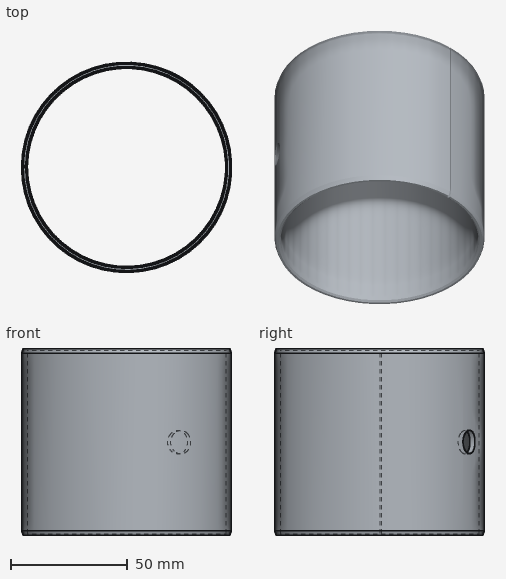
import cadquery as cq
import math

outer_diameter = 90.0
wall = 2.5
length = 80.0
outer_radius = outer_diameter / 2
inner_radius = outer_radius - wall
half_length = length / 2

outer_chamfer_length = 2.0
outer_chamfer_angle = 20.0
outer_chamfer_depth = outer_chamfer_length * math.tan(math.radians(outer_chamfer_angle))
inner_chamfer = 0.75

wall_start_angle = 180.0
slit_angle = 1.0
slit_edge_angle = wall_start_angle - slit_angle

oil_hole_diameter = 10.0
oil_hole_from_slit = 120.0
oil_hole_angle = slit_edge_angle - oil_hole_from_slit


def make_split_sleeve():
    """Revolve the chamfered wall section about Z, leaving the slit open."""
    section = [
        (inner_radius, -half_length + inner_chamfer),
        (inner_radius + inner_chamfer, -half_length),
        (outer_radius - outer_chamfer_depth, -half_length),
        (outer_radius, -half_length + outer_chamfer_length),
        (outer_radius, half_length - outer_chamfer_length),
        (outer_radius - outer_chamfer_depth, half_length),
        (inner_radius + inner_chamfer, half_length),
        (inner_radius, half_length - inner_chamfer),
    ]
    sleeve = cq.Workplane("XZ").polyline(section).close().revolve(360 - slit_angle, (0, 0, 0), (0, 1, 0))
    return sleeve.rotate((0, 0, 0), (0, 0, 1), wall_start_angle)


def make_oil_hole():
    """Radial cutter from the axis out past the wall."""
    angle = math.radians(oil_hole_angle)
    direction = cq.Vector(math.cos(angle), math.sin(angle), 0)
    cutter = cq.Solid.makeCylinder(oil_hole_diameter / 2, outer_diameter, cq.Vector(0, 0, 0), direction)
    return cq.Workplane(obj=cutter)


result = make_split_sleeve().cut(make_oil_hole())